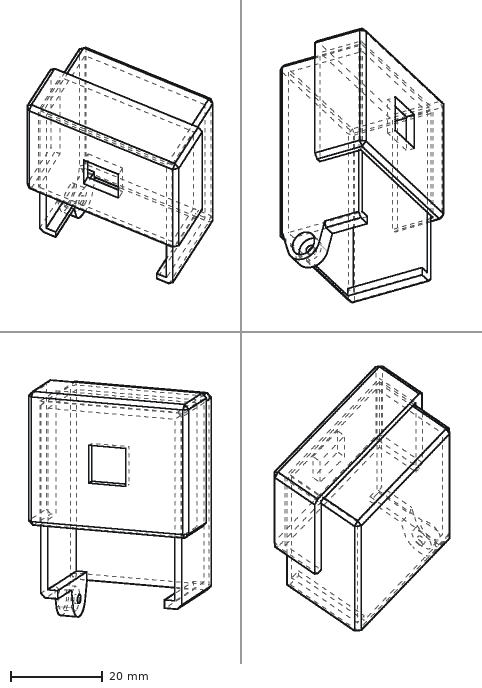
import cadquery as cq
import math

CHAMFER = 1.0

CASE_WIDTH = 32.85
CASE_DEPTH = 20.15
CASE_HEIGHT = 44.5
CASE_WALL = 1.6
LIP_WIDTH = 4.0
LIP_HEIGHT = 1.9

EAR_RADIUS = 4.0
EAR_ROOT_WIDTH = 10.65
EAR_DROP = 3.1
EAR_BACK_OFFSET = 6.35
HINGE_HOLE_DIAMETER = 2.0
HINGE_BORE_DIAMETER = 5.5
HINGE_BORE_DEPTH = 3.0

CAP_SIDE_WALL = 2.25
CAP_WIDTH = CASE_WIDTH + 2 * CAP_SIDE_WALL
CAP_DEPTH = 12.25
CAP_HEIGHT = 30.2
CAP_FRONT_WALL = 2.0
WINDOW_SIZE = 8.55

CASE_BOTTOM = EAR_RADIUS + EAR_DROP
CASE_TOP = CASE_BOTTOM + CASE_HEIGHT
CASE_FRONT = 2.55
CASE_BACK = CASE_FRONT + CASE_DEPTH
CASE_LEFT = -CASE_WIDTH / 2
HINGE_Y = CASE_BACK - EAR_BACK_OFFSET
HINGE_Z = EAR_RADIUS
CAP_TOP = CASE_TOP + CAP_SIDE_WALL
CAP_BOTTOM = CAP_TOP - CAP_HEIGHT
WINDOW_Z = CAP_BOTTOM + CAP_HEIGHT / 2


def block(width, y_min, y_max, z_min, z_max):
    """Box centred on X = 0 between the given Y and Z limits."""
    depth = y_max - y_min
    height = z_max - z_min
    return cq.Workplane("XY").box(width, depth, height, centered=(True, False, False)).translate(
        (0, y_min, z_min)
    )


def hinge_cylinder(radius, length):
    """Cylinder on the hinge axis, running from the left side of the case toward +X."""
    return (
        cq.Workplane("YZ", origin=(CASE_LEFT, HINGE_Y, HINGE_Z))
        .circle(radius)
        .extrude(length)
    )


def make_ear():
    """Ear with straight flanks that run tangent into its round end."""
    half_root = EAR_ROOT_WIDTH / 2
    root_height = EAR_DROP + CHAMFER
    root_distance = math.hypot(half_root, root_height)
    tangent_angle = math.atan2(root_height, half_root) - math.acos(EAR_RADIUS / root_distance)
    tangent_y = EAR_RADIUS * math.cos(tangent_angle)
    tangent_z = EAR_RADIUS * math.sin(tangent_angle)
    return (
        cq.Workplane("YZ", origin=(CASE_LEFT, HINGE_Y, HINGE_Z))
        .moveTo(-half_root, root_height)
        .lineTo(-tangent_y, tangent_z)
        .threePointArc((0, -EAR_RADIUS), (tangent_y, tangent_z))
        .lineTo(half_root, root_height)
        .close()
        .extrude(LIP_WIDTH)
    )


def make_case():
    shell = block(CASE_WIDTH, CASE_FRONT, CASE_BACK, CASE_BOTTOM, CASE_TOP)
    shell = shell.edges("not <Y").chamfer(CHAMFER)

    inner_back = CASE_BACK - CASE_WALL
    cavity = block(
        CASE_WIDTH - 2 * CASE_WALL,
        CASE_FRONT,
        inner_back,
        CASE_BOTTOM + LIP_HEIGHT,
        CASE_TOP - CASE_WALL,
    )
    lip_gap = block(
        CASE_WIDTH - 2 * LIP_WIDTH, CASE_FRONT, inner_back, CASE_BOTTOM, CASE_BOTTOM + LIP_HEIGHT
    )
    case = shell.cut(cavity).cut(lip_gap).union(make_ear())

    case = case.cut(hinge_cylinder(HINGE_HOLE_DIAMETER / 2, LIP_WIDTH))
    return case.cut(hinge_cylinder(HINGE_BORE_DIAMETER / 2, HINGE_BORE_DEPTH))


def make_cap():
    cap = block(CAP_WIDTH, 0, CAP_DEPTH, CAP_BOTTOM, CAP_TOP)
    cap = cap.edges("not >Y").chamfer(CHAMFER)

    recess = block(CASE_WIDTH, CAP_FRONT_WALL, CAP_DEPTH, CAP_BOTTOM, CASE_TOP)
    window = block(
        WINDOW_SIZE,
        0,
        CAP_FRONT_WALL,
        WINDOW_Z - WINDOW_SIZE / 2,
        WINDOW_Z + WINDOW_SIZE / 2,
    )
    return cap.cut(recess).cut(window)


case = make_case()
cap = make_cap()
result = cq.Compound.makeCompound([case.val(), cap.val()])